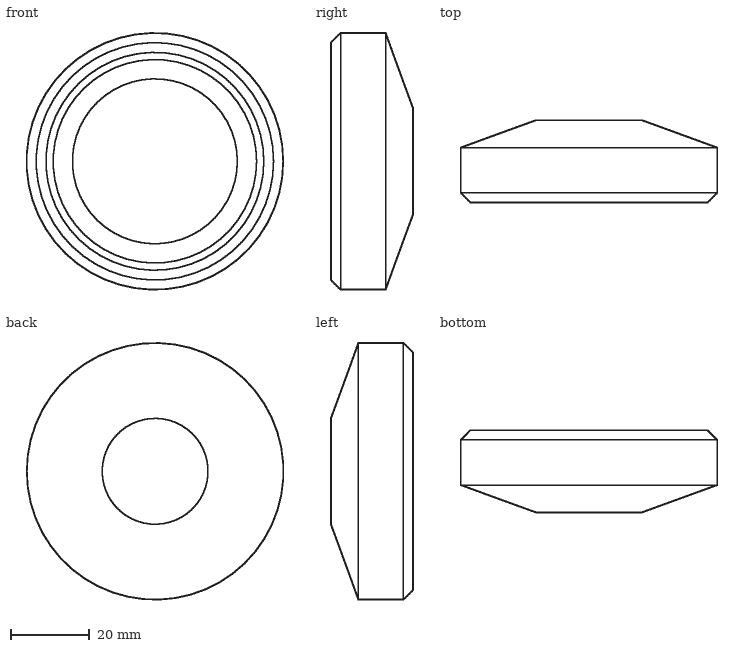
import cadquery as cq

outer_radius = 32.7
total_depth = 21.0
rim_chamfer = 2.5
shoulder_depth = 14.0
back_radius = 13.5

mouth_radius = 27.75
groove_outer_radius = 25.9
floor_depth = 10.2
pad_radius = 21.0
pad_depth = 7.0


def turned_body():
    """Revolve the half section (radius, depth) about the Y axis."""
    section = [
        (0, pad_depth),
        (pad_radius, pad_depth),
        (pad_radius, floor_depth),
        (groove_outer_radius, floor_depth),
        (groove_outer_radius, pad_depth),
        (mouth_radius, 0),
        (outer_radius - rim_chamfer, 0),
        (outer_radius, rim_chamfer),
        (outer_radius, shoulder_depth),
        (back_radius, total_depth),
        (0, total_depth),
    ]
    profile = cq.Workplane("XY").polyline(section).close()
    return profile.revolve(360, (0, 0, 0), (0, 1, 0))


result = turned_body()